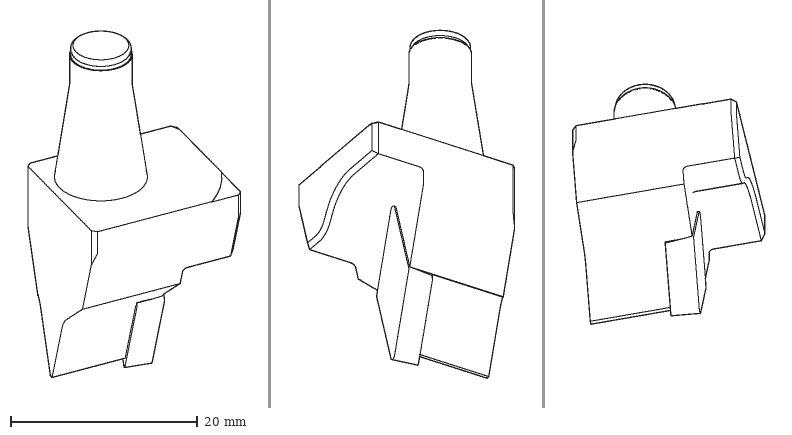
import cadquery as cq
import math


head_left = -6.0
head_right = 10.0
head_front = -6.0
head_back = 12.0
edge_chamfer = 0.5
blade_back = 5.8
left_flank_top = -6.0
right_flank_top = -2.75
right_knee = -11.0

pick_margin = 0.1

corner_relief_radius = 13.0
corner_relief_depth = 0.05

half_angle = math.radians(17.5)
flank = math.tan(half_angle)
inscribed_radius = 6.35 / 2
insert_thickness = 3.18
insert_face = 6.0
insert_seat = insert_face - insert_thickness
insert_relief = 5.0
nose_radius = 0.4
insert_tip = -25.0
half_length = inscribed_radius / math.sin(half_angle)
half_width = inscribed_radius / math.cos(half_angle)
insert_center = insert_tip + half_length - nose_radius * (1 / math.sin(half_angle) - 1)

tip_flat = -23.45
tip_half_width = 0.2
throat_radius = 4.0
throat_angle = math.radians(47)
throat_bottom = -16.05
throat_cut = -14.95

overhang_bottom = -4.0
foot_bottom = -8.75
foot_start = -1.0
foot_tilt = math.radians(30)
foot_inner_radius = 5.0
foot_outer_radius = 2.5
foot_root_fillet = 0.5

taper_base_radius = 5.0
pin_radius = 6.75 / 2
taper_top = 11.55
pin_top = 15.35
collar_radius = 3.25
collar_top = 15.75
shank_top = 16.5
crown_root_radius = 3.13
crown_bulge = 3.27
crown_radius = 3.0


def left_flank_x(z):
    return head_left + (left_flank_top - z) * flank


def right_flank_x(z):
    return head_right - (right_flank_top - z) * flank


def throat_point(angle):
    """Point of the right throat arc whose tangent leans by angle from vertical."""
    x = tip_half_width + (throat_bottom - tip_flat) * flank
    x += throat_radius * (math.cos(half_angle) - math.cos(angle))
    z = throat_bottom + throat_radius * (math.sin(angle) - math.sin(half_angle))
    return x, z


def mirrored(point):
    return -point[0], point[1]


def extrude_along_y(sketch, y_start, y_end):
    """Extrude an XZ outline drawn at Y = 0 between two Y positions."""
    return sketch.extrude(-(y_end - y_start)).translate((0, y_start, 0))


def make_blade():
    throat_height = throat_cut - throat_bottom
    cut_angle = math.asin(math.sin(half_angle) + throat_height / throat_radius)
    right_middle = throat_point((half_angle + throat_angle) / 2)
    left_middle = mirrored(throat_point((half_angle + cut_angle) / 2))
    outline = (
        cq.Workplane("XZ")
        .moveTo(head_left, 0)
        .lineTo(head_right, 0)
        .lineTo(head_right, right_flank_top)
        .lineTo(right_flank_x(right_knee), right_knee)
        .lineTo(*throat_point(throat_angle))
        .threePointArc(right_middle, throat_point(half_angle))
        .lineTo(tip_half_width, tip_flat)
        .lineTo(-tip_half_width, tip_flat)
        .lineTo(*mirrored(throat_point(half_angle)))
        .threePointArc(left_middle, mirrored(throat_point(cut_angle)))
        .lineTo(left_flank_x(throat_cut), throat_cut)
        .lineTo(head_left, left_flank_top)
        .close()
    )
    return extrude_along_y(outline, head_front, blade_back)


def make_overhang():
    """Rear part of the head: a flange that sweeps down into the foot."""
    tilt_cos = math.cos(foot_tilt)
    tilt_sin = math.sin(foot_tilt)
    mid_tilt = (foot_tilt + math.pi / 2) / 2

    inner_z = overhang_bottom - foot_inner_radius
    inner_mid = (foot_start + foot_inner_radius * math.cos(mid_tilt),
                 inner_z + foot_inner_radius * math.sin(mid_tilt))
    inner_end = (foot_start + foot_inner_radius * tilt_cos,
                 inner_z + foot_inner_radius * tilt_sin)

    outer_z = foot_bottom + foot_outer_radius
    ramp_end_z = outer_z - foot_outer_radius * tilt_sin
    ramp_end = (inner_end[0] + (inner_end[1] - ramp_end_z) * math.tan(foot_tilt), ramp_end_z)
    outer_x = ramp_end[0] + foot_outer_radius * tilt_cos
    outer_mid = (outer_x - foot_outer_radius * math.cos(mid_tilt),
                 outer_z - foot_outer_radius * math.sin(mid_tilt))

    outline = (
        cq.Workplane("XZ")
        .moveTo(head_left, 0)
        .lineTo(head_left, overhang_bottom)
        .lineTo(foot_start, overhang_bottom)
        .threePointArc(inner_mid, inner_end)
        .lineTo(*ramp_end)
        .threePointArc(outer_mid, (outer_x, foot_bottom))
        .lineTo(right_flank_x(foot_bottom), foot_bottom)
        .lineTo(head_right, right_flank_top)
        .lineTo(head_right, 0)
        .close()
    )
    overhang = extrude_along_y(outline, blade_back, head_back)
    rim_below_top = cq.selectors.BoxSelector(
        (head_left - pick_margin, head_back - pick_margin, foot_bottom - pick_margin),
        (head_right + pick_margin, head_back + pick_margin, -pick_margin))
    return overhang.edges(rim_below_top).chamfer(edge_chamfer)


def make_shank():
    profile = (
        cq.Workplane("XZ")
        .moveTo(0, 0)
        .lineTo(taper_base_radius, 0)
        .lineTo(pin_radius, taper_top)
        .lineTo(pin_radius, pin_top)
        .lineTo(collar_radius, pin_top)
        .lineTo(crown_root_radius, collar_top)
        .threePointArc((crown_bulge, (collar_top + shank_top) / 2), (crown_radius, shank_top))
        .lineTo(0, shank_top)
        .close()
    )
    return profile.revolve(360, (0, 0, 0), (0, 1, 0))


def make_insert():
    """Rhombus with rounded corners, drafted towards its seat by the relief angle."""
    rhombus = (
        cq.Sketch()
        .polygon([(0, half_length), (half_width, 0), (0, -half_length),
                  (-half_width, 0), (0, half_length)])
        .vertices()
        .fillet(nose_radius)
    )
    return (
        cq.Workplane("XZ", origin=(0, insert_face, insert_center))
        .placeSketch(rhombus)
        .extrude(insert_thickness, taper=insert_relief)
    )


def make_holder(insert):
    head = make_blade().union(make_overhang())
    root_edges = cq.selectors.BoxSelector(
        (head_left + pick_margin, blade_back - pick_margin, foot_bottom - pick_margin),
        (right_flank_x(foot_bottom) + pick_margin, blade_back + pick_margin, overhang_bottom + pick_margin))
    head = head.edges(root_edges).fillet(foot_root_fillet)
    head = head.faces("<Y").edges("|Z").chamfer(edge_chamfer)

    room_depth = throat_cut - insert_tip
    room_thickness = head_back - insert_seat
    room = (
        cq.Workplane("XY", origin=(0, insert_seat, insert_tip))
        .box(2 * head_right, room_thickness, room_depth, centered=(True, False, False))
    )
    head = head.cut(room)
    head = head.cut(insert)

    step = (
        cq.Workplane("XY").workplane(offset=-corner_relief_depth)
        .circle(2 * corner_relief_radius)
        .circle(corner_relief_radius)
        .extrude(2 * corner_relief_depth)
    )
    return head.cut(step).union(make_shank())


insert = make_insert()
holder = make_holder(insert)

result = cq.Compound.makeCompound([holder.solids().val(), insert.val()])